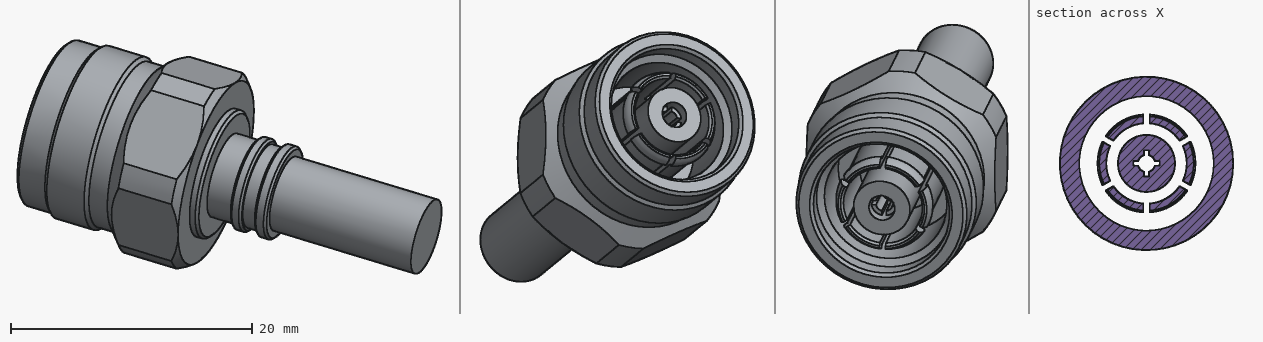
import cadquery as cq
import math


length = 33.95
nut_radius = 7.2
nut_lead_chamfer = 0.27
knurl_radius = 7.5
knurl_start = 2.55
knurl_end = 6.65
knurl_chamfer = 0.37

hex_across_flats = 15.9
hex_turned_diameter = 17.2
hex_turned_radius = hex_turned_diameter / 2
hex_lead_start = 8.25
hex_lead_end = 9.57
hex_rear_chamfer_start = 14.35
hex_rear = 14.97

flange_radius = 5.55
flange_rear = 15.7
flange_chamfer = 0.25
neck_radius = 3.63
tube_radius = 3.22
barb_radius = 4.05
barb_chamfer = 0.2
barb_spans = ((17.92, 18.95), (20.1, 21.18))

socket_mouth_radius = 6.0
socket_radius = 5.75
socket_mouth_depth = 0.27
socket_cone_start = 1.7
socket_cone_end = 2.15
socket_inner_radius = 5.15
socket_floor = 8.5

finger_tip = 0.7
finger_bore_radius = 3.33
finger_root_radius = 3.85
finger_bead_radius = 4.07
finger_tip_inner_radius = 3.53
finger_tip_outer_radius = 3.75
finger_bead_end = 1.7
finger_bead_taper = 0.25
finger_slot_width = 0.5
finger_slot_depth = 5.43
finger_slot_count = 6

insulator_radius = 2.38
insulator_face = 0.4
contact_radius = 1.1
contact_face = 1.45
contact_hole_radius = 0.7
contact_hole_depth = 2.7
contact_cone_depth = 0.4
contact_slot_width = 0.37
contact_slot_depth = 2.38


def turned(points):
    """Revolve a closed (x, radius) outline about the X axis."""
    return cq.Workplane("XY").polyline(points).close().revolve(360, (0, 0, 0), (1, 0, 0))


def rod(start, end, radius):
    """Solid cylinder along X."""
    return cq.Workplane("YZ").workplane(offset=start).circle(radius).extrude(end - start)


def ring(start, end, radius, chamfer):
    """Solid disc along X with both rims chamfered."""
    return rod(start, end, radius).faces("<X or >X").chamfer(chamfer)


def hexagon():
    """Hexagonal nut whose corners are turned down and chamfered at both ends."""
    across_corners = hex_across_flats / math.cos(math.pi / 6)
    prism = (
        cq.Workplane("YZ")
        .workplane(offset=hex_lead_start)
        .polygon(6, across_corners)
        .extrude(hex_rear - hex_lead_start)
        .rotate((0, 0, 0), (1, 0, 0), 90)
    )
    envelope = turned([
        (hex_lead_start, 0),
        (hex_lead_start, nut_radius),
        (hex_lead_end, hex_turned_radius),
        (hex_rear_chamfer_start, hex_turned_radius),
        (hex_rear, hex_across_flats / 2),
        (hex_rear, 0),
    ])
    return prism.intersect(envelope)


def outer_body():
    """Nut, flange, neck, barbs and tube as one solid."""
    body = rod(0, hex_lead_start, nut_radius).faces("<X").chamfer(nut_lead_chamfer)
    body = body.union(ring(knurl_start, knurl_end, knurl_radius, knurl_chamfer))
    body = body.union(hexagon())
    body = body.union(rod(hex_rear, flange_rear, flange_radius).faces(">X").chamfer(flange_chamfer))
    barbs_end = barb_spans[-1][1]
    body = body.union(rod(flange_rear, barbs_end, neck_radius))
    body = body.union(rod(barbs_end, length, tube_radius))
    for start, end in barb_spans:
        body = body.union(ring(start, end, barb_radius, barb_chamfer))
    return body


def socket():
    """Stepped cavity open at the mating face."""
    return turned([
        (0, 0),
        (0, socket_mouth_radius),
        (socket_mouth_depth, socket_radius),
        (socket_cone_start, socket_radius),
        (socket_cone_end, socket_inner_radius),
        (socket_floor, socket_inner_radius),
        (socket_floor, 0),
    ])


def spring_fingers():
    """Beaded tube split into fingers by evenly spaced radial slots."""
    rise = finger_bead_radius - finger_tip_outer_radius
    run = finger_bead_end - finger_tip
    arc_radius = (run**2 + rise**2) / (2 * rise)
    half_sweep = math.asin(run / arc_radius) / 2
    arc_middle = (
        finger_bead_end - arc_radius * math.sin(half_sweep),
        finger_bead_radius - arc_radius * (1 - math.cos(half_sweep)),
    )
    tube = (
        cq.Workplane("XY")
        .moveTo(socket_floor, finger_bore_radius)
        .lineTo(finger_tip + finger_tip_inner_radius - finger_bore_radius, finger_bore_radius)
        .lineTo(finger_tip, finger_tip_inner_radius)
        .lineTo(finger_tip, finger_tip_outer_radius)
        .threePointArc(arc_middle, (finger_bead_end, finger_bead_radius))
        .lineTo(finger_bead_end + finger_bead_taper, finger_root_radius)
        .lineTo(socket_floor, finger_root_radius)
        .close()
        .revolve(360, (0, 0, 0), (1, 0, 0))
    )
    slot = cq.Workplane("XY").box(
        finger_slot_depth, finger_slot_width, 2 * socket_radius, centered=(False, True, True)
    )
    slot = slot.translate((finger_tip, 0, 0))
    for index in range(finger_slot_count // 2):
        tube = tube.cut(slot.rotate((0, 0, 0), (1, 0, 0), index * 360 / finger_slot_count))
    return tube


def insulator():
    """Insulator post with a bore down to the face of the centre contact."""
    return rod(insulator_face, socket_floor, insulator_radius).cut(
        rod(insulator_face, contact_face, contact_radius)
    )


def contact_opening():
    """Conical-bottomed contact hole with two crossed slots."""
    hole_end = contact_face + contact_hole_depth
    hole = turned([
        (contact_face, 0),
        (contact_face, contact_hole_radius),
        (hole_end, contact_hole_radius),
        (hole_end + contact_cone_depth, 0),
    ])
    slot = cq.Workplane("XY").box(
        contact_slot_depth, contact_slot_width, 2 * contact_radius, centered=(False, True, True)
    )
    slot = slot.translate((contact_face, 0, 0)).intersect(
        rod(contact_face, contact_face + contact_slot_depth, contact_radius)
    )
    return hole.union(slot).union(slot.rotate((0, 0, 0), (1, 0, 0), 90))


result = (
    outer_body()
    .cut(socket())
    .union(spring_fingers())
    .union(insulator())
    .cut(contact_opening())
)